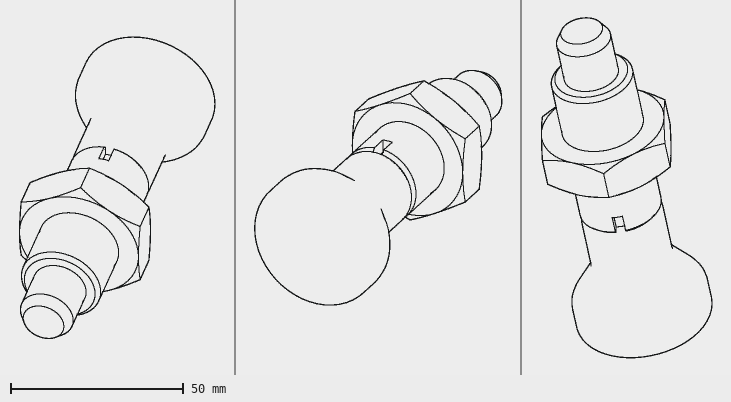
import cadquery as cq
import math


pin_radius = 16 / 2
pin_projection = 16.0
pin_chamfer_length = 3.2
pin_chamfer_angle = 30.0

housing_radius = 24 / 2
housing_length = 50.0
housing_chamfer = 1.3

slot_width = 3.0
slot_length = 6.5

knob_length = 40.0
knob_head_radius = 40 / 2
knob_neck_radius = housing_radius
head_rim_length = 10.0
head_cone_length = 11.25
head_top_fillet = 2.25
head_cone_fillet = 4.0
neck_end_fillet = 2.0

nut_sides = 6
nut_across_flats = 36.0
nut_thickness = 12.0
nut_setback = 19.0
nut_chamfer_angle = 30.0

housing_start = pin_projection
housing_end = housing_start + housing_length
knob_end = housing_end + knob_length
nut_start = housing_start + nut_setback


def revolve_about_y(profile):
    return profile.close().revolve(360, (0, 0, 0), (0, 1, 0))


def make_pin():
    tip_radius = pin_radius - pin_chamfer_length * math.tan(math.radians(pin_chamfer_angle))
    profile = (
        cq.Workplane("XY")
        .lineTo(tip_radius, 0)
        .lineTo(pin_radius, pin_chamfer_length)
        .lineTo(pin_radius, housing_end)
        .lineTo(0, housing_end)
    )
    return revolve_about_y(profile)


def make_housing():
    end_radius = housing_radius - housing_chamfer
    profile = (
        cq.Workplane("XY")
        .moveTo(0, housing_start)
        .lineTo(end_radius, housing_start)
        .lineTo(housing_radius, housing_start + housing_chamfer)
        .lineTo(housing_radius, housing_end - housing_chamfer)
        .lineTo(end_radius, housing_end)
        .lineTo(0, housing_end)
    )
    housing = revolve_about_y(profile)
    slot = (
        cq.Workplane("XY")
        .box(slot_width, slot_length, 2 * housing_radius)
        .translate((0, housing_end - slot_length / 2, 0))
    )
    return housing.cut(slot)


def make_knob():
    rim_bottom = knob_end - head_rim_length
    cone_bottom = rim_bottom - head_cone_length
    profile = (
        cq.Workplane("XY")
        .moveTo(0, housing_end)
        .lineTo(knob_neck_radius, housing_end)
        .lineTo(knob_neck_radius, cone_bottom)
        .lineTo(knob_head_radius, rim_bottom)
        .lineTo(knob_head_radius, knob_end)
        .lineTo(0, knob_end)
    )
    knob = revolve_about_y(profile)
    knob = knob.edges(cq.NearestToPointSelector((0, rim_bottom, 0))).fillet(head_cone_fillet)
    knob = knob.edges(cq.NearestToPointSelector((0, cone_bottom, 0))).fillet(head_cone_fillet)
    knob = knob.faces(">Y").edges().fillet(head_top_fillet)
    return knob.faces("<Y").edges().fillet(neck_end_fillet)


def make_nut():
    flat_radius = nut_across_flats / 2
    corner_radius = flat_radius / math.cos(math.pi / nut_sides)
    chamfer_length = (corner_radius - flat_radius) * math.tan(math.radians(nut_chamfer_angle))
    nut_end = nut_start + nut_thickness
    hexagon = (
        cq.Workplane("XZ", origin=(0, nut_end, 0))
        .polygon(nut_sides, 2 * corner_radius)
        .extrude(nut_thickness)
        .rotate((0, 0, 0), (0, 1, 0), 90)
    )
    blank_profile = (
        cq.Workplane("XY")
        .moveTo(0, nut_start)
        .lineTo(flat_radius, nut_start)
        .lineTo(corner_radius, nut_start + chamfer_length)
        .lineTo(corner_radius, nut_end - chamfer_length)
        .lineTo(flat_radius, nut_end)
        .lineTo(0, nut_end)
    )
    return hexagon.intersect(revolve_about_y(blank_profile))


result = make_pin().union(make_housing()).union(make_knob()).union(make_nut())